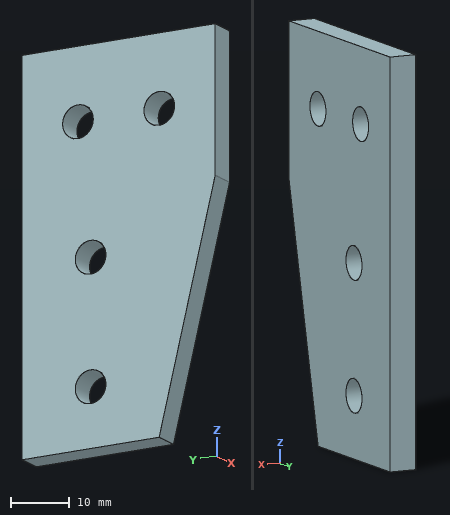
import cadquery as cq

thickness = 5.0
width = 38.0
height = 72.0

bottom_width = 27.0
taper_start_height = 45.0

hole_diameter = 6.0
upper_hole_offsets = (11.0, bottom_width)
upper_hole_height = height - 13.5
lower_hole_offset = bottom_width / 2
lower_hole_heights = (11.0, 34.05)

straight_edge_y = width / 2
bottom_z = -height / 2

base_plane = cq.Workplane("YZ").workplane(offset=-thickness / 2)


def plate_point(offset, elevation):
    """Y, Z position from the distance to the straight edge and to the bottom."""
    return (straight_edge_y - offset, bottom_z + elevation)


def make_plate():
    outline = [
        plate_point(0, 0),
        plate_point(bottom_width, 0),
        plate_point(width, taper_start_height),
        plate_point(width, height),
        plate_point(0, height),
    ]
    return base_plane.polyline(outline).close().extrude(thickness)


def make_holes():
    centers = [plate_point(offset, upper_hole_height) for offset in upper_hole_offsets]
    centers += [plate_point(lower_hole_offset, elevation) for elevation in lower_hole_heights]
    return base_plane.pushPoints(centers).circle(hole_diameter / 2).extrude(thickness)


result = make_plate().cut(make_holes())